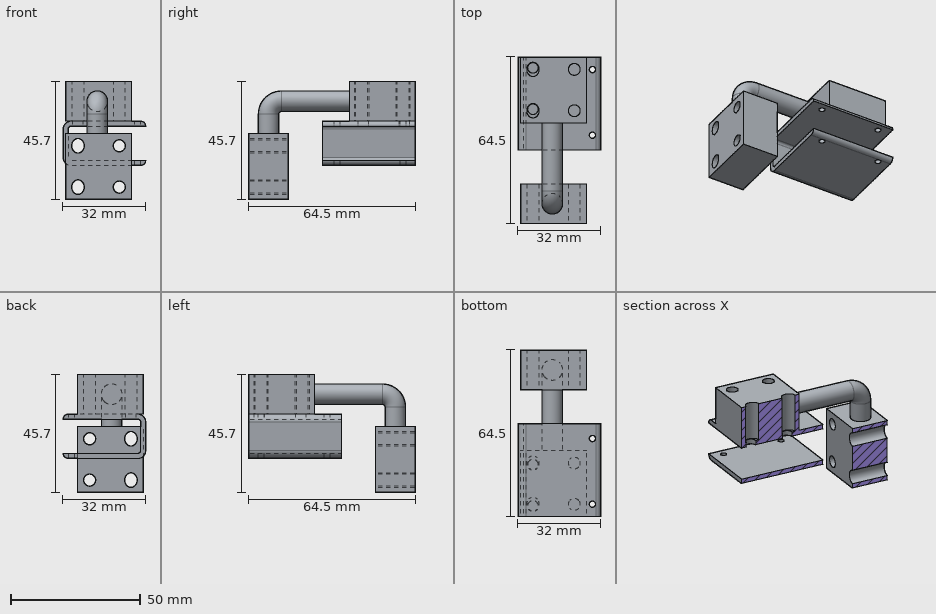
import cadquery as cq

channel_width = 32.0
channel_length = 36.0
channel_height = 17.15
plate_thickness = 2.0
bend_radius = 3.0
bend_inner_radius = bend_radius - plate_thickness
lip_radius = 1.95

block_side = 25.55
block_depth = 15.4
block_left = 0.95
block_center_x = block_left + block_side / 2

overall_length = 64.5
overall_height = 45.7
block_bottom = overall_height - block_depth
front_face_y = -overall_length

hole_spacing = 16.0
hole_diameter = 4.6
oval_width = 4.8
oval_length = 5.55

plate_hole_diameter = 4.05
plate_hole_shift = 0.6
lip_hole_diameter = 2.3
lip_hole_x = 28.75
lip_hole_rear_y = -4.85
lip_hole_spacing = 25.4

bar_diameter = 8.0
bar_x = 13.2
bar_bend_radius = 5.0
bar_axis_z = overall_height - block_depth / 2
bar_axis_y = front_face_y + block_depth / 2


def make_channel():
    """Bent plate with rounded outer edges on its two free lips."""
    bottom = block_bottom - channel_height
    outer = (
        cq.Workplane("XY", origin=(0, 0, bottom))
        .box(channel_width, channel_length, channel_height, centered=False)
        .translate((0, -channel_length, 0))
        .edges("|Y and <X").fillet(bend_radius)
        .edges("|Y and >X").fillet(lip_radius)
    )
    cavity = (
        cq.Workplane("XY", origin=(plate_thickness, -channel_length, bottom + plate_thickness))
        .box(channel_width, channel_length, channel_height - 2 * plate_thickness, centered=False)
        .edges("|Y and <X").fillet(bend_inner_radius)
    )
    lip_holes = (
        cq.Workplane("XY", origin=(lip_hole_x, lip_hole_rear_y, bottom))
        .pushPoints([(0, 0), (0, -lip_hole_spacing)])
        .circle(lip_hole_diameter / 2)
        .extrude(channel_height)
    )
    plate_holes = (
        cq.Workplane("XY", origin=(block_center_x - hole_spacing / 2,
                                   -block_side / 2 + plate_hole_shift,
                                   block_bottom - plate_thickness))
        .pushPoints([(0, -hole_spacing / 2), (0, hole_spacing / 2)])
        .circle(plate_hole_diameter / 2)
        .extrude(plate_thickness)
    )
    return outer.cut(cavity).cut(lip_holes).cut(plate_holes)


def make_block(plane):
    """Square block centred on the plane origin, with four through holes."""
    half = hole_spacing / 2
    block = cq.Workplane(plane).rect(block_side, block_side).extrude(block_depth)
    round_holes = (
        cq.Workplane(plane)
        .pushPoints([(half, -half), (half, half)])
        .circle(hole_diameter / 2)
        .extrude(block_depth)
    )
    ovals = (
        cq.Workplane(plane)
        .pushPoints([(-half, -half), (-half, half)])
        .ellipse(oval_width / 2, oval_length / 2)
        .extrude(block_depth)
    )
    return block.cut(round_holes).cut(ovals)


def make_bar():
    """Round bar running forward from the upper block and bending down to the lower one."""
    path = (
        cq.Workplane("YZ", origin=(bar_x, 0, 0))
        .moveTo(-block_side, bar_axis_z)
        .lineTo(bar_axis_y + bar_bend_radius, bar_axis_z)
        .tangentArcPoint((bar_axis_y, bar_axis_z - bar_bend_radius), relative=False)
        .lineTo(bar_axis_y, block_side)
    )
    start = cq.Workplane("XZ", origin=(bar_x, -block_side, bar_axis_z))
    return start.circle(bar_diameter / 2).sweep(path)


upper_plane = cq.Plane(
    origin=(block_center_x, -block_side / 2, block_bottom), xDir=(1, 0, 0), normal=(0, 0, 1)
)
lower_plane = cq.Plane(
    origin=(block_center_x, front_face_y + block_depth, block_side / 2),
    xDir=(1, 0, 0),
    normal=(0, -1, 0),
)

result = make_channel().union(make_block(upper_plane)).union(make_block(lower_plane)).union(make_bar())